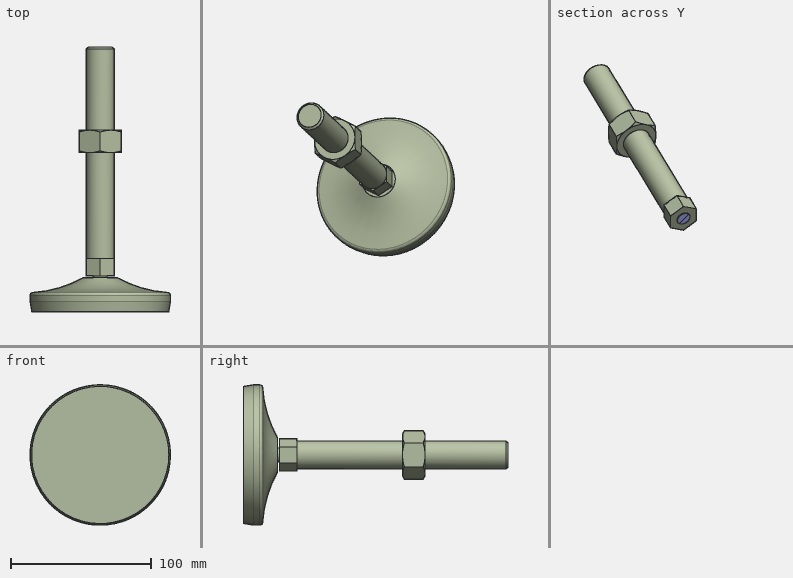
import cadquery as cq
import math

TOTAL_LENGTH = 188.5

PAD_RADIUS = 50.0
PAD_BOTTOM_RADIUS = 48.8
PAD_TAPER_HEIGHT = 7.4
PAD_SHOULDER_HEIGHT = 13.8
PAD_SHOULDER_FILLET = 2.2
PAD_FLANK_RADIUS = 29.3
PAD_FLANK_HEIGHT = 17.2
PAD_TOP_RADIUS = 12.2
PAD_HEIGHT = 24.4

NECK_DIAMETER = 10.0
ROD_DIAMETER = 20.0
ROD_CHAMFER = 1.5
WRENCH_HEX_START = 25.6
WRENCH_HEX_LENGTH = 12.5
WRENCH_HEX_FLATS = 20.0
NUT_START = 113.3
NUT_LENGTH = 16.0
NUT_FLATS = 30.0
NUT_CHAMFER_ANGLE = 30.0

EDGE_MARGIN = 0.1


def across_corners(flats):
    """Corner-to-corner size of a hexagon with the given width across flats."""
    return flats / math.cos(math.radians(30))


def revolve_about_y(profile):
    """Turn a closed XY profile once around the Y axis."""
    return profile.close().revolve(360, (0, 0, 0), (0, 1, 0))


def cylinder(radius, start, end):
    """Round bar along Y from start to end."""
    return revolve_about_y(
        cq.Workplane("XY").moveTo(0, start).lineTo(radius, start).lineTo(radius, end).lineTo(0, end)
    )


def hexagon(flats, start, length):
    """Hexagonal bar along Y, with two flats facing +X and -X."""
    plane = cq.Plane(origin=(0, start, 0), xDir=(0, 0, 1), normal=(0, 1, 0))
    return cq.Workplane(plane).polygon(6, across_corners(flats)).extrude(length)


def make_pad():
    """Tapered rim, rounded shoulder and concave flank up to a flat top."""
    pad = revolve_about_y(
        cq.Workplane("XY")
        .lineTo(PAD_BOTTOM_RADIUS, 0)
        .lineTo(PAD_RADIUS, PAD_TAPER_HEIGHT)
        .lineTo(PAD_RADIUS, PAD_SHOULDER_HEIGHT)
        .threePointArc((PAD_FLANK_RADIUS, PAD_FLANK_HEIGHT), (PAD_TOP_RADIUS, PAD_HEIGHT))
        .lineTo(0, PAD_HEIGHT)
    )
    shoulder_edge = cq.selectors.BoxSelector(
        (-PAD_RADIUS - EDGE_MARGIN, PAD_SHOULDER_HEIGHT - EDGE_MARGIN, -PAD_RADIUS - EDGE_MARGIN),
        (PAD_RADIUS + EDGE_MARGIN, PAD_SHOULDER_HEIGHT + EDGE_MARGIN, PAD_RADIUS + EDGE_MARGIN),
        boundingbox=True,
    )
    return pad.edges(shoulder_edge).fillet(PAD_SHOULDER_FILLET)


def make_spindle():
    """Narrow neck, wrench hexagon and rod with a chamfered free end."""
    neck = cylinder(NECK_DIAMETER / 2, PAD_HEIGHT, WRENCH_HEX_START)
    wrench_hex = hexagon(WRENCH_HEX_FLATS, WRENCH_HEX_START, WRENCH_HEX_LENGTH)
    rod_start = WRENCH_HEX_START + WRENCH_HEX_LENGTH
    rod = cylinder(ROD_DIAMETER / 2, rod_start, TOTAL_LENGTH).faces(">Y").chamfer(ROD_CHAMFER)
    return neck.union(wrench_hex).union(rod)


def make_nut():
    """Hexagon nut whose corners are turned down to a cone at both ends."""
    face_radius = NUT_FLATS / 2
    corner_radius = across_corners(NUT_FLATS) / 2
    chamfer_depth = (corner_radius - face_radius) * math.tan(math.radians(NUT_CHAMFER_ANGLE))
    nut_end = NUT_START + NUT_LENGTH
    envelope = revolve_about_y(
        cq.Workplane("XY")
        .moveTo(0, NUT_START)
        .lineTo(face_radius, NUT_START)
        .lineTo(corner_radius, NUT_START + chamfer_depth)
        .lineTo(corner_radius, nut_end - chamfer_depth)
        .lineTo(face_radius, nut_end)
        .lineTo(0, nut_end)
    )
    return hexagon(NUT_FLATS, NUT_START, NUT_LENGTH).intersect(envelope)


result = make_pad().union(make_spindle()).union(make_nut())